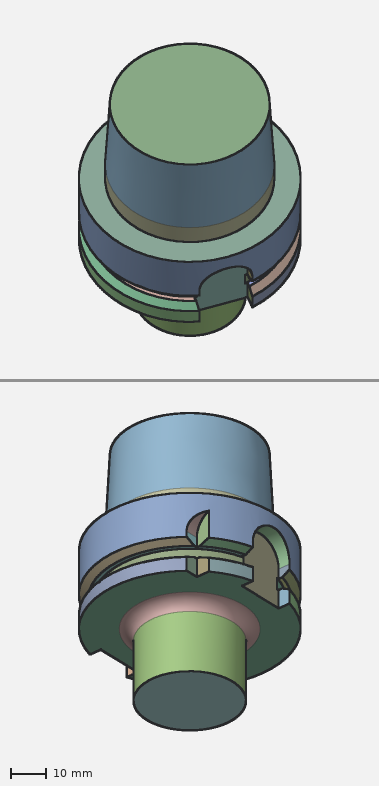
import cadquery as cq
import math

total_height = 82.0

shank_radius = 16.0
root_fillet = 4.0

flange_radius = 31.5
flange_bottom = 23.95
flange_top = 49.9

groove_radius = 27.4
groove_bottom = 30.1
groove_top = 33.8
bevel_height = 1.5
bevel_angle = 60.0

head_base_radius = 24.0
head_top_radius = 22.7
taper_start = 56.2

slot_width = 16.0
slot_arc_center = 37.1
drive_slot_floor = 26.4

notch_inner_wall = -19.85
notch_floor = 20.0

slot_radius = slot_width / 2
lip_radius = flange_radius - bevel_height * math.tan(math.radians(bevel_angle))
notch_center = notch_inner_wall - slot_radius
cut_depth = flange_radius


def turned_body():
    """Shank, grooved flange and tapered head in one revolved profile."""
    fillet_diagonal = root_fillet * (1 - math.sqrt(0.5))
    fillet_middle = (shank_radius + fillet_diagonal, flange_bottom - fillet_diagonal)
    return (
        cq.Workplane("XZ")
        .lineTo(shank_radius, 0)
        .lineTo(shank_radius, flange_bottom - root_fillet)
        .threePointArc(fillet_middle, (shank_radius + root_fillet, flange_bottom))
        .lineTo(flange_radius, flange_bottom)
        .lineTo(flange_radius, groove_bottom - bevel_height)
        .lineTo(lip_radius, groove_bottom)
        .lineTo(groove_radius, groove_bottom)
        .lineTo(groove_radius, groove_top)
        .lineTo(lip_radius, groove_top)
        .lineTo(flange_radius, groove_top + bevel_height)
        .lineTo(flange_radius, flange_top)
        .lineTo(head_base_radius, flange_top)
        .lineTo(head_base_radius, taper_start)
        .lineTo(head_top_radius, total_height)
        .lineTo(0, total_height)
        .close()
        .revolve(360, (0, 0, 0), (0, 1, 0))
    )


def round_top_cutter(center_x, floor_y):
    """Slot with a round top, open at the flange underside, running outward along +Y."""
    return (
        cq.Workplane("XZ", origin=(center_x, floor_y, 0))
        .moveTo(-slot_radius, flange_bottom)
        .lineTo(slot_radius, flange_bottom)
        .lineTo(slot_radius, slot_arc_center)
        .threePointArc((0, slot_arc_center + slot_radius), (-slot_radius, slot_arc_center))
        .close()
        .extrude(-cut_depth)
    )


result = turned_body()

for slot_angle in (90, -90):
    drive_slot = round_top_cutter(0, drive_slot_floor).rotate((0, 0, 0), (0, 0, 1), slot_angle)
    result = result.cut(drive_slot)

result = result.cut(round_top_cutter(notch_center, notch_floor))